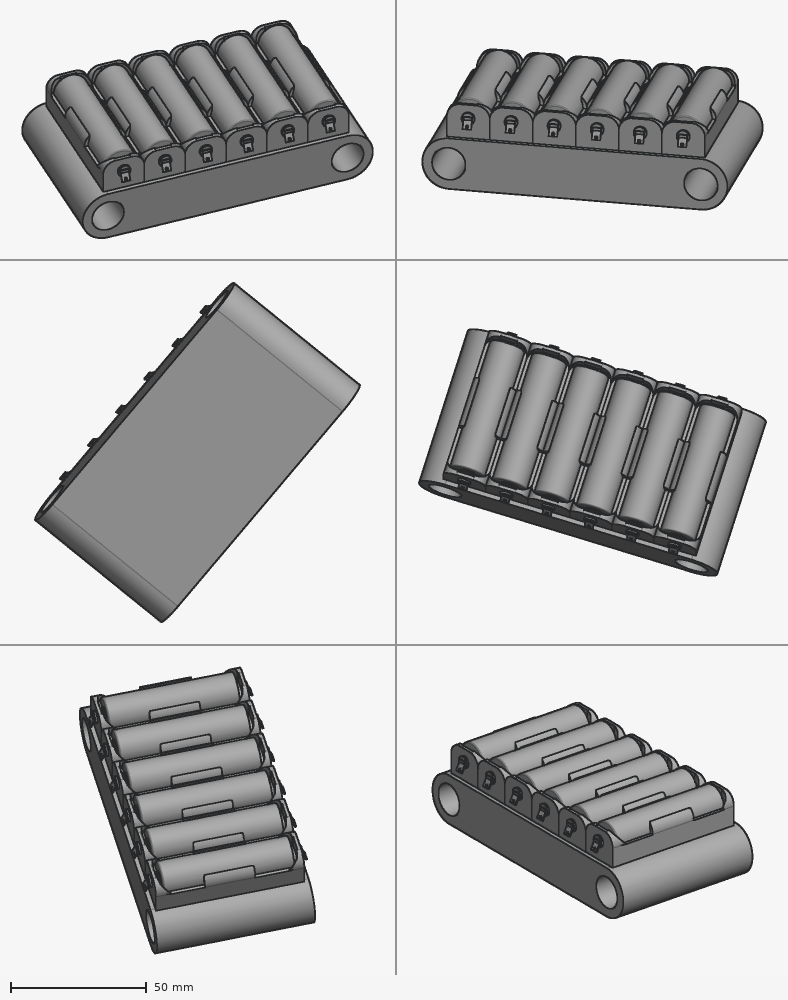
import cadquery as cq
import math

BASE_WIDTH = 60.0
BASE_LENGTH = 115.0
BASE_HEIGHT = 20.0
BORE_DIAMETER = 12.6

HOLDER_COUNT = 6
HOLDER_PITCH = 16.2
HOLDER_LENGTH = 56.4
HOLDER_HEIGHT = 13.1
SHOULDER_RADIUS = 5.0
LEDGE_HEIGHT = 7.8

OPENING_LENGTH = 52.7
OPENING_CORNER_RADIUS = 4.0
NOTCH_LENGTH = 53.6
NOTCH_WIDTH = HOLDER_PITCH - 2 * SHOULDER_RADIUS

CLIP_LENGTH = 19.1
CLIP_GAP = 11.7
CLIP_CORNER_RADIUS = 0.7

TOTAL_HEIGHT = 34.5
CELL_LENGTH = 49.7
CELL_RADIUS = TOTAL_HEIGHT - BASE_HEIGHT - LEDGE_HEIGHT
CELL_EDGE_RADIUS = 0.3
CELL_CAP_DIAMETER = NOTCH_WIDTH
CELL_CAP_THICKNESS = 0.5

TERMINAL_SPAN = 61.8
HEAD_DIAMETER = 4.8
HEAD_THICKNESS = 0.8
LUG_WIDTH = 3.2
LUG_THICKNESS = 0.5
LUG_TOP_RISE = 0.9
LUG_BEND_DROP = 0.2
LUG_ANGLE = 25.0
LUG_HOLE_DIAMETER = 0.99
LUG_HOLE_END_DISTANCE = 0.9


def make_base():
    end_radius = BASE_HEIGHT / 2
    bore_spacing = BASE_LENGTH - BASE_HEIGHT
    return (
        cq.Workplane("YZ")
        .workplane(offset=-BASE_WIDTH / 2)
        .center(0, end_radius)
        .slot2D(BASE_LENGTH, BASE_HEIGHT)
        .pushPoints([(-bore_spacing / 2, 0), (bore_spacing / 2, 0)])
        .circle(BORE_DIAMETER / 2)
        .extrude(BASE_WIDTH)
    )


def shouldered_block(length):
    """A block along X with both upper long edges rounded, standing on Z = 0."""
    return (
        cq.Workplane("XY")
        .box(length, HOLDER_PITCH, HOLDER_HEIGHT, centered=(True, True, False))
        .edges("|X and >Z")
        .fillet(SHOULDER_RADIUS)
    )


def above_ledge(length, width):
    """A box that clears everything above the ledge."""
    return (
        cq.Workplane("XY")
        .workplane(offset=LEDGE_HEIGHT)
        .rect(length, width)
        .extrude(HOLDER_HEIGHT)
    )


def make_tray():
    opening = above_ledge(OPENING_LENGTH, HOLDER_PITCH).edges("|Z").fillet(OPENING_CORNER_RADIUS)
    notch = above_ledge(NOTCH_LENGTH, NOTCH_WIDTH)
    return shouldered_block(HOLDER_LENGTH).cut(opening).cut(notch)


def make_clips():
    """Two curled walls on the ledge, their upper corners rounded."""
    outline = (
        above_ledge(CLIP_LENGTH, HOLDER_PITCH)
        .cut(above_ledge(CLIP_LENGTH, CLIP_GAP))
    )
    corners = cq.selectors.BoxSelector(
        (-CLIP_LENGTH, -CLIP_GAP / 2 - 0.1, 0),
        (CLIP_LENGTH, CLIP_GAP / 2 + 0.1, 2 * HOLDER_HEIGHT),
    )
    outline = outline.edges("|Z").edges(corners).fillet(CLIP_CORNER_RADIUS)
    return shouldered_block(CLIP_LENGTH).intersect(outline)


def cylinder_along_x(diameter, start_x, length):
    """A cylinder on the common axis of cell and terminals, at ledge height."""
    return (
        cq.Workplane("YZ")
        .workplane(offset=start_x)
        .center(0, LEDGE_HEIGHT)
        .circle(diameter / 2)
        .extrude(length)
    )


def make_cell():
    can = cylinder_along_x(2 * CELL_RADIUS, -CELL_LENGTH / 2, CELL_LENGTH).edges().fillet(CELL_EDGE_RADIUS)
    caps_length = CELL_LENGTH + 2 * CELL_CAP_THICKNESS
    caps = cylinder_along_x(CELL_CAP_DIAMETER, -caps_length / 2, caps_length)
    return can.union(caps)


def make_lug():
    """The bent lug at the +X end, with a hole near its tip."""
    inner_x = HOLDER_LENGTH / 2 + HEAD_THICKNESS
    outer_x = inner_x + LUG_THICKNESS
    top_z = LEDGE_HEIGHT + LUG_TOP_RISE
    bend_z = LEDGE_HEIGHT - LUG_BEND_DROP
    sine = math.sin(math.radians(LUG_ANGLE))
    cosine = math.cos(math.radians(LUG_ANGLE))
    leg_length = (TERMINAL_SPAN / 2 - outer_x) / sine
    inner_bend_z = bend_z - LUG_THICKNESS * math.tan(math.radians(LUG_ANGLE / 2))
    tip_x = outer_x + leg_length * sine
    tip_z = bend_z - leg_length * cosine
    strip = (
        cq.Workplane("XZ")
        .polyline([
            (inner_x, top_z),
            (outer_x, top_z),
            (outer_x, bend_z),
            (tip_x, tip_z),
            (tip_x - LUG_THICKNESS * cosine, tip_z - LUG_THICKNESS * sine),
            (inner_x, inner_bend_z),
        ])
        .close()
        .extrude(LUG_WIDTH / 2, both=True)
    )
    hole_plane = cq.Plane(
        origin=(tip_x - LUG_HOLE_END_DISTANCE * sine, 0, tip_z + LUG_HOLE_END_DISTANCE * cosine),
        xDir=(0, 1, 0),
        normal=(cosine, 0, sine),
    )
    hole = (
        cq.Workplane(hole_plane)
        .circle(LUG_HOLE_DIAMETER / 2)
        .extrude(2 * LUG_THICKNESS, both=True)
    )
    return strip.cut(hole)


def make_terminal():
    """The terminal on the +X end face."""
    head = cylinder_along_x(HEAD_DIAMETER, HOLDER_LENGTH / 2, HEAD_THICKNESS)
    return head.union(make_lug())


def make_holder():
    """One holder with its cell and terminals as a single solid, centred on Y = 0."""
    terminal = make_terminal()
    return (
        make_tray()
        .union(make_clips())
        .union(make_cell())
        .union(terminal)
        .union(terminal.mirror("YZ"))
    )


base = make_base()
holder = make_holder()

holders = []
for index in range(HOLDER_COUNT):
    y = (index - (HOLDER_COUNT - 1) / 2) * HOLDER_PITCH
    holders.append(holder.translate((0, y, BASE_HEIGHT)).val())

result = cq.Compound.makeCompound([base.val(), *holders])